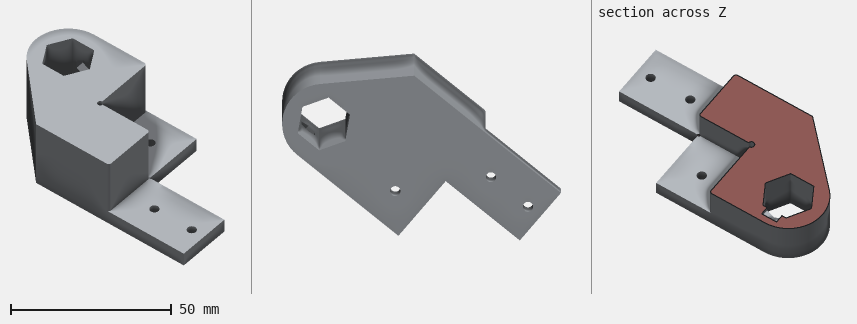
import cadquery as cq
import math

block_height = 25.0
flange_thickness = 5.0
step_middle_z = (flange_thickness + block_height) / 2

block_end_x = 20.0
flange_end_x = 50.0
front_y = -20.0
back_y = 23.0

boss_radius = 13.0
boss_x = -21.0
boss_y = back_y - boss_radius
hex_across_flats = 15.0

relief_diameter = 2.0
edge_radius = 1.0

mount_hole_diameter = 3.2
mount_holes = [(block_end_x / 2, 12.5), (30.0, front_y / 2), (45.0, front_y / 2)]

nut_across_flats = 5.5
nut_depth = 3.0


def hexagon_across_corners(across_flats):
    return across_flats / math.cos(math.pi / 6)


def outline(step_corners, height):
    """Extrude the boss and its tangent 45 degree flank, closed by the given step corners."""
    diagonal = boss_radius * math.sqrt(0.5)
    flank_front_x = boss_x + boss_y - 2 * diagonal - front_y
    return (
        cq.Workplane("XY")
        .moveTo(boss_x, back_y)
        .threePointArc(
            (boss_x - boss_radius, boss_y),
            (boss_x - diagonal, boss_y - diagonal),
        )
        .lineTo(flank_front_x, front_y)
        .polyline(step_corners, includeCurrent=True)
        .close()
        .extrude(height)
    )


def make_flange():
    corners = [(flange_end_x, front_y), (flange_end_x, 0), (block_end_x, 0), (block_end_x, back_y)]
    return outline(corners, flange_thickness)


def make_block():
    corners = [(block_end_x, front_y), (block_end_x, 0), (0, 0), (0, back_y)]
    return outline(corners, block_height)


def round_step_edges(body):
    """Round the three upright outer edges of the block above the flange."""
    for x, y in [(block_end_x, front_y), (block_end_x, 0), (0, back_y)]:
        edge = cq.selectors.NearestToPointSelector((x, y, step_middle_z))
        body = body.edges("|Z").edges(edge).fillet(edge_radius)
    return body


def make_corner_relief():
    """Upright round relief in the inner corner of the step, above the flange."""
    relief_height = block_height - flange_thickness
    flange_top = cq.Workplane("XY", origin=(0, 0, flange_thickness))
    return flange_top.circle(relief_diameter / 2).extrude(relief_height)


def make_hex_bore():
    across_corners = hexagon_across_corners(hex_across_flats)
    return cq.Workplane("XY").center(boss_x, boss_y).polygon(6, across_corners).extrude(block_height)


def make_mount_hole(x, y):
    return cq.Workplane("XY").center(x, y).circle(mount_hole_diameter / 2).extrude(flange_thickness)


def make_nut_pocket():
    """Pocket running from the bore axis to its floor inside the back wall."""
    bore_wall = hex_across_flats / 2
    return (
        cq.Workplane("XZ", origin=(boss_x, boss_y, step_middle_z))
        .transformed(rotate=(0, 0, 90))
        .polygon(6, hexagon_across_corners(nut_across_flats))
        .extrude(-(bore_wall + nut_depth))
    )


result = make_block().union(make_flange())
result = round_step_edges(result)
result = result.cut(make_corner_relief())
result = result.cut(make_hex_bore())
for hole_x, hole_y in mount_holes:
    result = result.cut(make_mount_hole(hole_x, hole_y))
result = result.cut(make_nut_pocket())